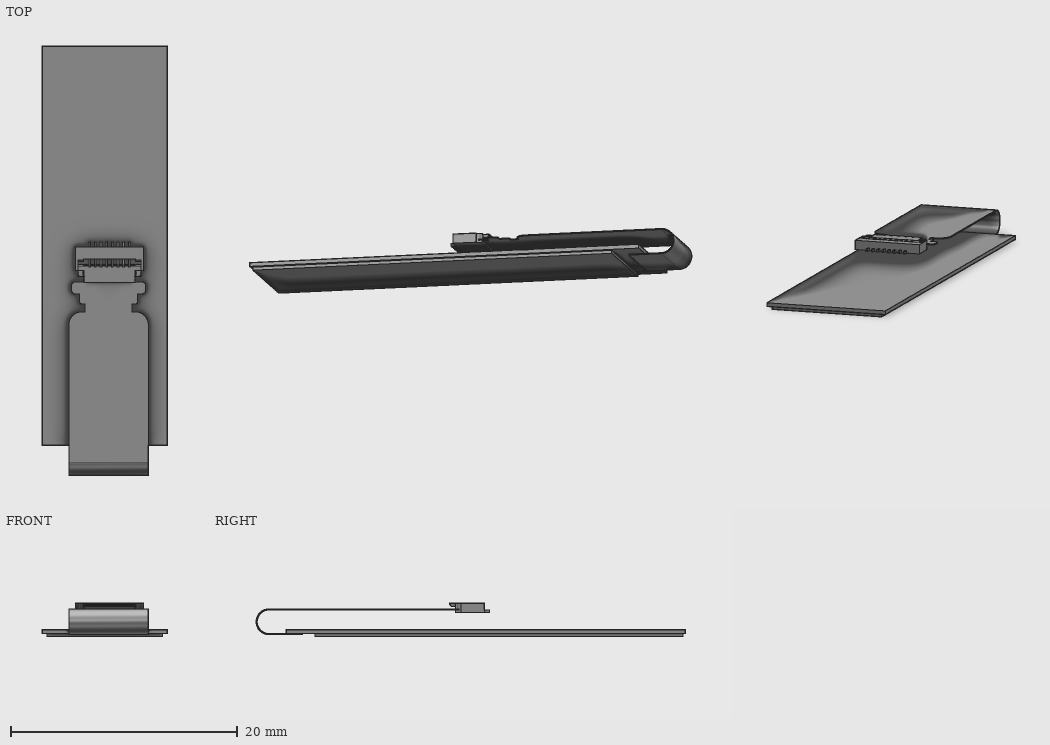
import cadquery as cq

TOTAL_LENGTH = 37.83
TOTAL_HEIGHT = 2.95

PANEL_WIDTH = 11.05
PANEL_LENGTH = 35.2
PANEL_THICKNESS = 0.35
BACKING_WIDTH = 10.2
BACKING_LENGTH = 32.45
BACKING_THICKNESS = 0.25
BACKING_REAR_MARGIN = 0.2

FLEX_CENTER_X = 0.35
FLEX_THICKNESS = 0.095
FLEX_BEND_RADIUS = 1.15
FLEX_WIDTH = 7.0
FLEX_LOWER_END_Y = -14.83
SHOULDER_Y = -5.6
SHOULDER_RADIUS = 1.1
NECK_WIDTH = 4.12
NECK_LENGTH = 0.68
STEP_WIDTH = 5.1
STEP_LENGTH = 0.9
STEP_CORNER_RADIUS = 0.23
EAR_WIDTH = 6.55
EAR_LENGTH = 1.05
EAR_CORNER_RADIUS = 0.35
TAIL_WIDTH = 4.55
TAIL_END_Y = -0.38

CONNECTOR_CENTER_X = 0.4
HOUSING_WIDTH = 5.98
HOUSING_HEIGHT = 0.85
HOUSING_REAR_Y = 1.2
HOUSING_FRONT_Y = -0.87
SIDE_WALL = 0.23
POST_LENGTH = 0.5
POST_WIDTH = 0.4
POST_RADIUS = 0.2
WINDOW_REAR_Y = 0.15
CORNER_RAMP_WIDTH = 0.45
CORNER_RAMP_TOP_LENGTH = 0.08
CORNER_RAMP_LENGTH = 0.23
SIDE_SLOT_LENGTH = 0.3
CONTACT_COUNT = 8
CONTACT_ROW_LENGTH = 3.48
CONTACT_WIDTH = 0.15
LEAD_LENGTH = 0.45
LEAD_HEIGHT = 0.23
ARM_DROP = 0.1
ARM_HEIGHT = 0.2
ARM_OVERLAP = 0.2

FLAP_REAR_Y = -0.35
FLAP_REAR_CHAMFER = 0.1
FLAP_FRONT_Y = -1.9
FLAP_TIP_THICKNESS = 0.08
FLAP_LIP_THICKNESS = 0.3
FLAP_SIDE_GAP = 0.1
FLAP_LIP_Y = -1.7

panel_rear_y = TOTAL_LENGTH / 2
panel_bottom = BACKING_THICKNESS
flex_bottom = panel_bottom - FLEX_THICKNESS
bend_center_y = FLEX_BEND_RADIUS - TOTAL_LENGTH / 2
bend_center_z = flex_bottom + FLEX_BEND_RADIUS
flex_top = bend_center_z + FLEX_BEND_RADIUS
upper_flex_bottom = flex_top - FLEX_THICKNESS
housing_bottom = TOTAL_HEIGHT - HOUSING_HEIGHT
post_front_y = HOUSING_FRONT_Y - POST_LENGTH
cavity_width = HOUSING_WIDTH - 2 * SIDE_WALL
opening_width = cavity_width - 2 * POST_WIDTH
lip_width = opening_width - 2 * FLAP_SIDE_GAP
arm_top = TOTAL_HEIGHT - ARM_DROP
arm_front_y = FLAP_REAR_Y - ARM_OVERLAP


def block(center_x, width, y_range, z_range):
    """Box centred on center_x that spans the two Y values and the two Z values."""
    y_low, y_high = sorted(y_range)
    z_low, z_high = z_range
    box = cq.Workplane("XY").box(width, y_high - y_low, z_high - z_low, centered=(True, False, False))
    return box.translate((center_x, y_low, z_low))


def make_panel():
    return block(
        0, PANEL_WIDTH,
        (panel_rear_y - PANEL_LENGTH, panel_rear_y),
        (panel_bottom, panel_bottom + PANEL_THICKNESS),
    )


def make_backing():
    rear_y = panel_rear_y - BACKING_REAR_MARGIN
    return block(0, BACKING_WIDTH, (rear_y - BACKING_LENGTH, rear_y), (0, BACKING_THICKNESS))


def make_flex_upper_run():
    """Flat upper run: shoulders, neck, step, ears and the tail that enters the connector."""
    neck_front_y = SHOULDER_Y + SHOULDER_RADIUS
    step_front_y = neck_front_y + NECK_LENGTH
    ear_front_y = step_front_y + STEP_LENGTH
    ear_rear_y = ear_front_y + EAR_LENGTH
    z_range = (upper_flex_bottom, flex_top)

    body = block(FLEX_CENTER_X, FLEX_WIDTH, (bend_center_y, neck_front_y), z_range)
    body = body.edges("|Z and >Y").fillet(SHOULDER_RADIUS)
    neck = block(FLEX_CENTER_X, NECK_WIDTH, (neck_front_y, step_front_y), z_range)
    step = block(FLEX_CENTER_X, STEP_WIDTH, (step_front_y, ear_front_y), z_range)
    step = step.edges("|Z and <Y").fillet(STEP_CORNER_RADIUS)
    ears = block(FLEX_CENTER_X, EAR_WIDTH, (ear_front_y, ear_rear_y), z_range)
    ears = ears.edges("|Z").fillet(EAR_CORNER_RADIUS)
    tail = block(CONNECTOR_CENTER_X, TAIL_WIDTH, (ear_rear_y, TAIL_END_Y), z_range)
    return body.union(neck).union(step).union(ears).union(tail)


def make_flex():
    bend = (
        cq.Workplane("YZ")
        .center(bend_center_y, bend_center_z)
        .circle(FLEX_BEND_RADIUS)
        .circle(FLEX_BEND_RADIUS - FLEX_THICKNESS)
        .extrude(FLEX_WIDTH / 2, both=True)
        .translate((FLEX_CENTER_X, 0, 0))
    )
    front_half = block(
        FLEX_CENTER_X, FLEX_WIDTH, (-TOTAL_LENGTH / 2, bend_center_y), (flex_bottom, flex_top)
    )
    lower_run = block(
        FLEX_CENTER_X, FLEX_WIDTH, (bend_center_y, FLEX_LOWER_END_Y), (flex_bottom, panel_bottom)
    )
    return bend.intersect(front_half).union(lower_run).union(make_flex_upper_run())


def contact_positions():
    pitch = CONTACT_ROW_LENGTH / (CONTACT_COUNT - 1)
    first_x = CONNECTOR_CENTER_X - CONTACT_ROW_LENGTH / 2
    return [first_x + i * pitch for i in range(CONTACT_COUNT)]


def make_arm(x):
    """Contact arm that bridges the window and dips into the flap's rear edge."""
    return block(x, CONTACT_WIDTH, (arm_front_y, WINDOW_REAR_Y), (arm_top - ARM_HEIGHT, arm_top))


def make_corner_ramp(side):
    """Steep ramp in one rear corner of the window; side is -1 or 1."""
    ramp_center = cavity_width / 2 - CORNER_RAMP_WIDTH / 2
    return (
        cq.Workplane("YZ")
        .moveTo(WINDOW_REAR_Y, upper_flex_bottom)
        .lineTo(WINDOW_REAR_Y, TOTAL_HEIGHT)
        .lineTo(WINDOW_REAR_Y - CORNER_RAMP_TOP_LENGTH, TOTAL_HEIGHT)
        .lineTo(WINDOW_REAR_Y - CORNER_RAMP_LENGTH, upper_flex_bottom)
        .close()
        .extrude(CORNER_RAMP_WIDTH / 2, both=True)
        .translate((CONNECTOR_CENTER_X + side * ramp_center, 0, 0))
    )


def make_housing():
    shell = block(
        CONNECTOR_CENTER_X, HOUSING_WIDTH, (HOUSING_FRONT_Y, HOUSING_REAR_Y), (housing_bottom, TOTAL_HEIGHT)
    )
    cavity = block(
        CONNECTOR_CENTER_X, cavity_width, (HOUSING_FRONT_Y, WINDOW_REAR_Y), (upper_flex_bottom, TOTAL_HEIGHT)
    )
    floor = block(
        CONNECTOR_CENTER_X, cavity_width, (post_front_y, HOUSING_FRONT_Y), (housing_bottom, upper_flex_bottom)
    )
    posts = block(
        CONNECTOR_CENTER_X, cavity_width, (post_front_y, HOUSING_FRONT_Y), (upper_flex_bottom, TOTAL_HEIGHT)
    )
    posts = posts.edges("|Z and <Y").fillet(POST_RADIUS)
    opening = block(
        CONNECTOR_CENTER_X, opening_width, (post_front_y, HOUSING_FRONT_Y), (upper_flex_bottom, TOTAL_HEIGHT)
    )
    side_slot = block(
        CONNECTOR_CENTER_X, cavity_width,
        (post_front_y, post_front_y + SIDE_SLOT_LENGTH), (upper_flex_bottom, flex_top),
    )
    housing = shell.cut(cavity).union(floor).union(posts.cut(opening)).cut(side_slot)
    for side in (-1, 1):
        housing = housing.union(make_corner_ramp(side))
    for x in contact_positions():
        lead = block(
            x, CONTACT_WIDTH,
            (HOUSING_REAR_Y, HOUSING_REAR_Y + LEAD_LENGTH),
            (housing_bottom, housing_bottom + LEAD_HEIGHT),
        )
        housing = housing.union(lead).union(make_arm(x))
    return housing


def make_flap():
    """Flap with wide pivot ears behind the posts and a lip that tapers to a thin front edge."""
    lip = (
        cq.Workplane("YZ")
        .moveTo(HOUSING_FRONT_Y, flex_top)
        .lineTo(HOUSING_FRONT_Y, TOTAL_HEIGHT)
        .lineTo(FLAP_FRONT_Y, TOTAL_HEIGHT)
        .lineTo(FLAP_FRONT_Y, TOTAL_HEIGHT - FLAP_TIP_THICKNESS)
        .lineTo(FLAP_LIP_Y, TOTAL_HEIGHT - FLAP_LIP_THICKNESS)
        .lineTo(post_front_y, TOTAL_HEIGHT - FLAP_LIP_THICKNESS)
        .lineTo(post_front_y, flex_top)
        .close()
        .extrude(lip_width / 2, both=True)
        .translate((CONNECTOR_CENTER_X, 0, 0))
    )
    flap = block(
        CONNECTOR_CENTER_X, cavity_width, (HOUSING_FRONT_Y, FLAP_REAR_Y), (flex_top, TOTAL_HEIGHT)
    )
    flap = flap.edges("|X and >Y and >Z").chamfer(FLAP_REAR_CHAMFER).union(lip)
    for x in contact_positions():
        notch = block(x, CONTACT_WIDTH, (arm_front_y, FLAP_REAR_Y), (flex_top, TOTAL_HEIGHT))
        flap = flap.cut(notch)
    return flap


panel = make_panel()
backing = make_backing()
flex = make_flex()
housing = make_housing()
flap = make_flap()

result = cq.Compound.makeCompound([panel.val(), backing.val(), flex.val(), housing.val(), flap.val()])